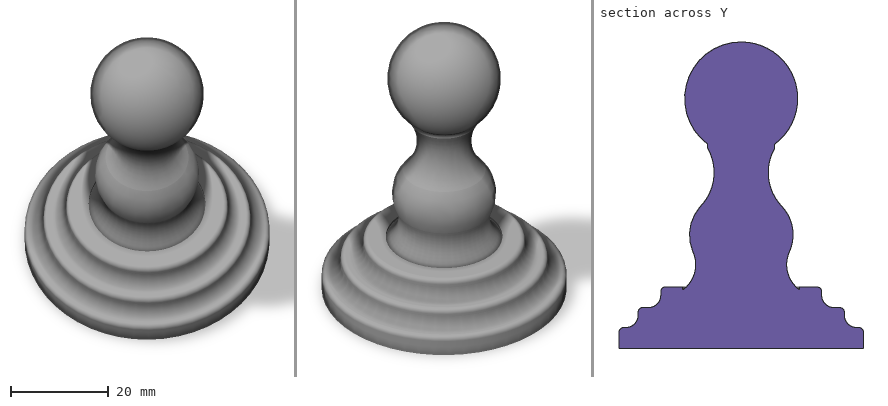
import cadquery as cq
import math

BASE_TIERS = [(25.0, 4.4), (21.1, 8.45), (16.5, 12.65)]
EDGE_RADIUS = 1.0
COVE_RADIUS = 2.45

SEAT_RADIUS = 11.9
SEAT_DEPTH = 0.5

FOOT_RADIUS = 11.8
WAIST_RADIUS, WAIST_Z = 9.35, 17.25
BULGE_BOTTOM_RADIUS, BULGE_BOTTOM_Z = 9.9, 19.8
BULGE_RADIUS, BULGE_Z = 10.65, 23.25
BULGE_TOP_RADIUS, BULGE_TOP_Z = 8.45, 28.95
NECK_RADIUS, NECK_Z = 5.6, 36.0
COLLAR_RADIUS, COLLAR_BOTTOM_Z = 6.9, 40.95

TOTAL_HEIGHT = 62.7
BALL_RADIUS = 11.6
BALL_Z = TOTAL_HEIGHT - BALL_RADIUS

DIAGONAL = math.sqrt(0.5)


def make_base():
    """Revolved base with rounded tier edges and coves between the tiers."""
    profile = cq.Workplane("XZ").lineTo(BASE_TIERS[0][0], 0)
    floor_z = None
    for radius, top_z in BASE_TIERS:
        if floor_z is not None:
            cove_x = radius + COVE_RADIUS
            cove_z = floor_z + COVE_RADIUS
            reach = COVE_RADIUS * DIAGONAL
            profile = profile.lineTo(cove_x, floor_z)
            profile = profile.threePointArc((cove_x - reach, cove_z - reach), (radius, cove_z))
        edge_x = radius - EDGE_RADIUS
        edge_z = top_z - EDGE_RADIUS
        reach = EDGE_RADIUS * DIAGONAL
        profile = profile.lineTo(radius, edge_z)
        profile = profile.threePointArc((edge_x + reach, edge_z + reach), (edge_x, top_z))
        floor_z = top_z
    return profile.lineTo(0, floor_z).close().revolve(360, (0, 0, 0), (0, 1, 0))


def make_post(bottom_z):
    """Revolved post: flared waist, bulge, neck, short collar and ball."""
    collar_top_z = BALL_Z - math.sqrt(BALL_RADIUS**2 - COLLAR_RADIUS**2)
    return (
        cq.Workplane("XZ")
        .moveTo(0, bottom_z)
        .lineTo(FOOT_RADIUS, bottom_z)
        .threePointArc((WAIST_RADIUS, WAIST_Z), (BULGE_BOTTOM_RADIUS, BULGE_BOTTOM_Z))
        .threePointArc((BULGE_RADIUS, BULGE_Z), (BULGE_TOP_RADIUS, BULGE_TOP_Z))
        .threePointArc((NECK_RADIUS, NECK_Z), (COLLAR_RADIUS, COLLAR_BOTTOM_Z))
        .lineTo(COLLAR_RADIUS, collar_top_z)
        .threePointArc((BALL_RADIUS, BALL_Z), (0, TOTAL_HEIGHT))
        .close()
        .revolve(360, (0, 0, 0), (0, 1, 0))
    )


seat_z = BASE_TIERS[-1][1] - SEAT_DEPTH
seat = cq.Workplane("XY").workplane(offset=seat_z).circle(SEAT_RADIUS).extrude(SEAT_DEPTH)

result = make_base().cut(seat).union(make_post(seat_z))